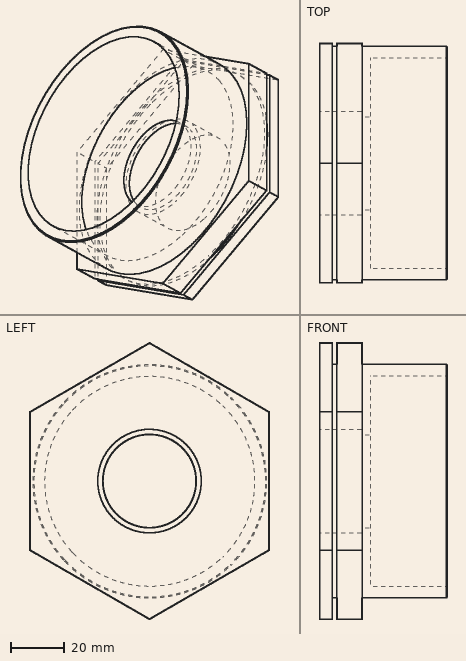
import cadquery as cq
import math

total_length = 48.0
hex_across_corners = 103.9
front_hex_end = 4.8
rear_hex_start = 6.4
rear_hex_end = 16.0
body_diameter = 87.9
rim_chamfer = 0.4
socket_diameter = 39.0
socket_depth = 16.0
bore_diameter = 35.0
web_thickness = 3.0
recess_diameter = 79.1


def cylinder(diameter, start, end):
    return cq.Workplane("YZ", origin=(start, 0, 0)).circle(diameter / 2).extrude(end - start)


def hexagon(start, end):
    """Hexagonal plate with corners pointing up and down."""
    radius = hex_across_corners / 2
    corners = []
    for index in range(6):
        angle = math.radians(90 + 60 * index)
        corners.append((radius * math.cos(angle), radius * math.sin(angle)))
    return cq.Workplane("YZ", origin=(start, 0, 0)).polyline(corners).close().extrude(end - start)


body = cylinder(body_diameter, 0, total_length).faces(">X").edges().chamfer(rim_chamfer)

body = body.union(hexagon(0, front_hex_end)).union(hexagon(rear_hex_start, rear_hex_end))

body = body.cut(cylinder(bore_diameter, 0, total_length))
body = body.cut(cylinder(socket_diameter, 0, socket_depth))
result = body.cut(cylinder(recess_diameter, socket_depth + web_thickness, total_length))